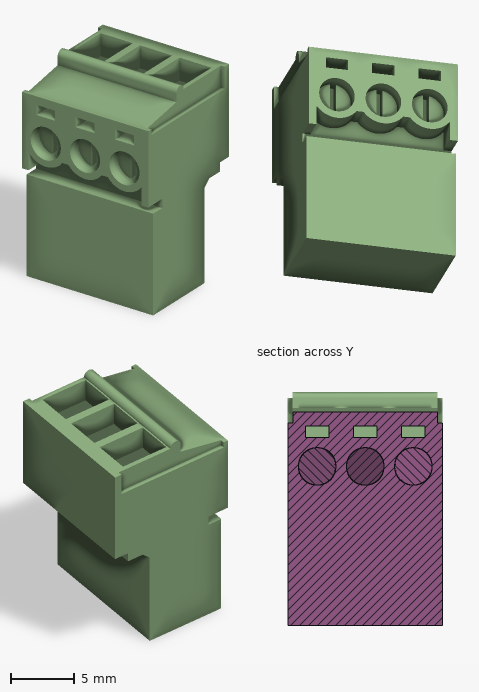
import cadquery as cq

WIDTH = 12.21
DEPTH = 11.1
HEIGHT = 18.45
POLE_COUNT = 3
POLE_PITCH = 3.8

HEAD_BOTTOM_Z = 9.78
LIP_DEPTH = 0.42
LIP_TOP_Z = 16.51
RAMP_TOP_Z = 17.2
RIDGE_RADIUS = 0.5
RIDGE_Y = 4.89
RIDGE_CENTRE_Z = HEIGHT - RIDGE_RADIUS
DECK_Z = RIDGE_CENTRE_Z
RIDGE_FRONT_Y = RIDGE_Y - RIDGE_RADIUS
RIDGE_REAR_Y = RIDGE_Y + RIDGE_RADIUS

FOOT_FRONT_Y = 0.66
FOOT_REAR_Y = 7.7
SHOULDER_Z = 8.97
SHOULDER_REAR_Y = 9.83
SHOULDER_CHAMFER_Y = 0.7
SHOULDER_CHAMFER_Z = 0.6
GROOVE_DEPTH = 1.92

LEDGE_WIDTH = 0.37
LEDGE_Z = 16.01
LEDGE_REAR_Y = 10.48

POCKET_WIDTH = 3.12
POCKET_FRONT_Y = 5.52
POCKET_REAR_Y = 9.76
CLAMP_TOP_Z = 15.92

SCREW_Z = 12.58
SCREW_RADIUS = 1.45
SCREW_FACE_Y = 1.2
SLOT_WIDTH = 0.5
SLOT_DEPTH = 0.74
COLLAR_RADIUS = 2.03
SCALLOP_SIDE_WALL = 0.65
SCALLOP_TOP_Z = 11.35

CLAMP_BOTTOM_Z = SCREW_Z - SCREW_RADIUS

WINDOW_WIDTH = 1.83
WINDOW_BOTTOM_Z = 14.87
WINDOW_HEIGHT = 0.89

POLE_XS = [(i - (POLE_COUNT - 1) / 2) * POLE_PITCH for i in range(POLE_COUNT)]


def box(width, x_centre, y_min, y_max, z_min, z_max):
    """Box centred on x_centre and spanning the given Y and Z limits."""
    corner = cq.Vector(x_centre - width / 2, y_min, z_min)
    return cq.Workplane(cq.Solid.makeBox(width, y_max - y_min, z_max - z_min, corner))


def y_cylinder(radius, x, z, y_min, y_max):
    """Cylinder along Y between two depths."""
    start = cq.Vector(x, y_min, z)
    return cq.Workplane(cq.Solid.makeCylinder(radius, y_max - y_min, start, cq.Vector(0, 1, 0)))


def profile_body():
    """Side profile of the housing extruded across the full width."""
    return (
        cq.Workplane("YZ", origin=(-WIDTH / 2, 0, 0))
        .moveTo(FOOT_FRONT_Y, 0)
        .lineTo(FOOT_REAR_Y, 0)
        .lineTo(FOOT_REAR_Y, SHOULDER_Z - SHOULDER_CHAMFER_Z)
        .lineTo(FOOT_REAR_Y + SHOULDER_CHAMFER_Y, SHOULDER_Z)
        .lineTo(SHOULDER_REAR_Y, SHOULDER_Z)
        .lineTo(SHOULDER_REAR_Y, HEAD_BOTTOM_Z)
        .lineTo(DEPTH, HEAD_BOTTOM_Z)
        .lineTo(DEPTH, DECK_Z)
        .lineTo(RIDGE_REAR_Y, DECK_Z)
        .threePointArc((RIDGE_Y, HEIGHT), (RIDGE_FRONT_Y, RIDGE_CENTRE_Z))
        .lineTo(RIDGE_FRONT_Y, RAMP_TOP_Z)
        .lineTo(LIP_DEPTH, LIP_TOP_Z)
        .lineTo(0, LIP_TOP_Z)
        .lineTo(0, HEAD_BOTTOM_Z)
        .lineTo(GROOVE_DEPTH, HEAD_BOTTOM_Z)
        .lineTo(GROOVE_DEPTH, SHOULDER_Z)
        .lineTo(FOOT_FRONT_Y, SHOULDER_Z)
        .close()
        .extrude(WIDTH)
    )


def side_ledges():
    """Material removed above the ledge on the left and right sides."""
    ledge_x = (WIDTH - LEDGE_WIDTH) / 2
    left = box(LEDGE_WIDTH, -ledge_x, LIP_DEPTH, LEDGE_REAR_Y, LEDGE_Z, HEIGHT)
    right = box(LEDGE_WIDTH, ledge_x, LIP_DEPTH, LEDGE_REAR_Y, LEDGE_Z, HEIGHT)
    return left.union(right)


def scalloped_opening():
    """Opening above the groove, with a round collar left under each screw."""
    opening = box(WIDTH - 2 * SCALLOP_SIDE_WALL, 0, 0, GROOVE_DEPTH, HEAD_BOTTOM_Z, SCALLOP_TOP_Z)
    for x in POLE_XS:
        opening = opening.cut(y_cylinder(COLLAR_RADIUS, x, SCREW_Z, 0, GROOVE_DEPTH))
    return opening


def make_housing():
    housing = profile_body().cut(side_ledges()).cut(scalloped_opening())
    for x in POLE_XS:
        pocket = box(POCKET_WIDTH, x, POCKET_FRONT_Y, POCKET_REAR_Y, CLAMP_BOTTOM_Z, HEIGHT)
        screw_hole = y_cylinder(SCREW_RADIUS, x, SCREW_Z, 0, POCKET_FRONT_Y)
        window_top_z = WINDOW_BOTTOM_Z + WINDOW_HEIGHT
        window = box(WINDOW_WIDTH, x, 0, POCKET_FRONT_Y, WINDOW_BOTTOM_Z, window_top_z)
        housing = housing.cut(pocket).cut(screw_hole).cut(window)
    return housing


def make_screw(x):
    """Slotted screw sunk in its hole, its tip against the clamp."""
    screw = y_cylinder(SCREW_RADIUS, x, SCREW_Z, SCREW_FACE_Y, POCKET_FRONT_Y)
    slot_end_y = SCREW_FACE_Y + SLOT_DEPTH
    slot_bottom_z = SCREW_Z - SCREW_RADIUS
    slot_top_z = SCREW_Z + SCREW_RADIUS
    slot = box(SLOT_WIDTH, x, SCREW_FACE_Y, slot_end_y, slot_bottom_z, slot_top_z)
    return screw.cut(slot)


def make_clamp(x):
    """Clamp block filling the bottom of a wire pocket."""
    return box(POCKET_WIDTH, x, POCKET_FRONT_Y, POCKET_REAR_Y, CLAMP_BOTTOM_Z, CLAMP_TOP_Z)


housing = make_housing()
screws = [make_screw(x) for x in POLE_XS]
clamps = [make_clamp(x) for x in POLE_XS]

result = cq.Compound.makeCompound([body.val() for body in [housing, *screws, *clamps]])